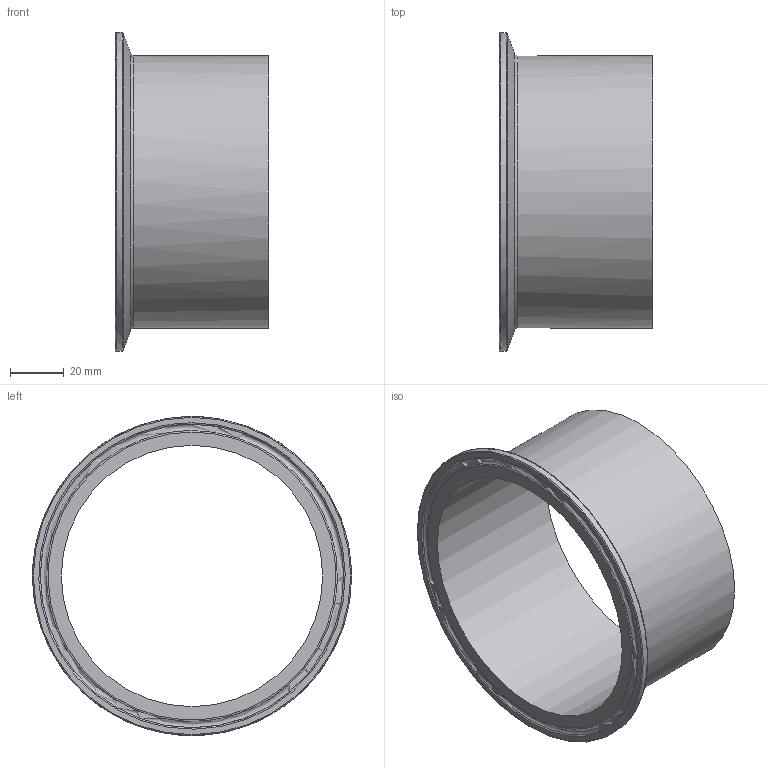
import cadquery as cq
import math

length = 57.15
bore_diameter = 97.38
tube_diameter = 101.6
flange_diameter = 118.92

taper_angle = 20.0
taper_corner_x = 5.97
neck_blend_radius = 1.2
rim_radius = 0.35

groove_diameter = 110.7
groove_width = 2.6
groove_depth = 1.0
groove_edge_radius = 0.65

full_turn = 360.0
bore_radius = bore_diameter / 2
tube_radius = tube_diameter / 2
flange_radius = flange_diameter / 2
groove_radius = groove_diameter / 2


def edges_at(body, x, radius, tolerance=0.05):
    """Circular edges about the X axis at the given station and radius."""
    return body.edges("%CIRCLE").filter(
        lambda edge: abs(edge.Center().x - x) < tolerance
        and abs(edge.radius() - radius) < tolerance
    )


def make_body():
    """Revolved tube with a tapered clamp flange; sketch axes are X and radius."""
    taper_rise = flange_radius - tube_radius
    rim_thickness = taper_corner_x - taper_rise * math.tan(math.radians(taper_angle))
    body = (
        cq.Workplane("XZ")
        .moveTo(0, bore_radius)
        .lineTo(length, bore_radius)
        .lineTo(length, tube_radius)
        .lineTo(taper_corner_x, tube_radius)
        .lineTo(rim_thickness, flange_radius)
        .lineTo(0, flange_radius)
        .close()
        .revolve(full_turn, (0, 0, 0), (1, 0, 0))
    )
    body = edges_at(body, taper_corner_x, tube_radius).fillet(neck_blend_radius)
    body = edges_at(body, rim_thickness, flange_radius).fillet(rim_radius)
    return edges_at(body, 0, flange_radius).fillet(rim_radius)


def cut_gasket_groove(body):
    """Arc-bottomed ring groove in the sealing face, with rounded edges."""
    inner_radius = groove_radius - groove_width / 2
    outer_radius = groove_radius + groove_width / 2
    cutter = (
        cq.Workplane("XZ")
        .moveTo(0, inner_radius)
        .threePointArc((groove_depth, groove_radius), (0, outer_radius))
        .close()
        .revolve(full_turn, (0, 0, 0), (1, 0, 0))
    )
    body = body.cut(cutter)
    for edge_radius in (inner_radius, outer_radius):
        body = edges_at(body, 0, edge_radius).fillet(groove_edge_radius)
    return body


result = cut_gasket_groove(make_body())